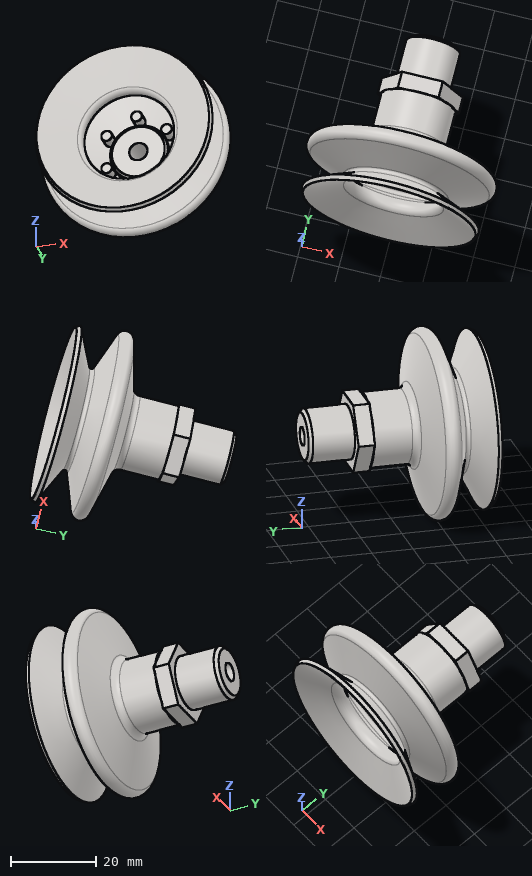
import cadquery as cq
import math


wall = 1.4
lip_outer = (21.5, 1.1)
lip_inner = (20.95, 0.0)

neck_radius = 12.35
neck_round = 0.65
neck_y = 6.03

rim_radius = 23.0
rim_round = 2.02
rim_y = 11.95

collar_radius = 9.0
collar_fillet = 1.85
collar_fillet_y = 18.65
collar_top_y = 27.95

pin_count = 6
pin_radius = 1.3
pin_circle_radius = 8.35
pin_tip_y = 12.6
pin_root_y = 16.55

bore_radius = 2.2
shank_radius = 7.0
shank_tip_y = 14.25
shank_chamfer = 0.6
hex_across_flats = 17.05
hex_height = 4.0
thread_radius = 6.6
thread_chamfer = 0.87
thread_end_y = 43.0

hex_top_y = collar_top_y + hex_height

neck_center = (neck_radius + neck_round, neck_y)
rim_center = (rim_radius - rim_round, rim_y)
collar_center = (collar_radius + collar_fillet, collar_fillet_y)


def crossing_tangent(center_a, radius_a, center_b, radius_b, side):
    """Contact points of the line that touches circles A and B on opposite sides.

    A radius of zero stands for a plain point; side (+1 or -1) picks one of the two lines.
    """
    dr = center_b[0] - center_a[0]
    dy = center_b[1] - center_a[1]
    spread = math.acos((radius_a + radius_b) / math.hypot(dr, dy))
    angle = math.atan2(dy, dr) + side * spread
    normal = (math.cos(angle), math.sin(angle))
    contact_a = (center_a[0] + radius_a * normal[0], center_a[1] + radius_a * normal[1])
    contact_b = (center_b[0] - radius_b * normal[0], center_b[1] - radius_b * normal[1])
    return contact_a, contact_b


def bellows_contacts(lip, inset):
    """Ends of the three conical stretches on the skin lying `inset` inside the outer one."""
    neck = neck_round + inset
    rim = rim_round - inset
    collar = collar_fillet + inset
    lip_cone = crossing_tangent(lip, 0, neck_center, neck, -1)
    lower_cone = crossing_tangent(rim_center, rim, neck_center, neck, 1)
    upper_cone = crossing_tangent(rim_center, rim, collar_center, collar, -1)
    return lip_cone, lower_cone, upper_cone


def y_on_line(start, end, radius):
    """Height at which the line through two profile points reaches the given radius."""
    slope = (end[1] - start[1]) / (end[0] - start[0])
    return start[1] + slope * (radius - start[0])


def turn(profile):
    return profile.close().revolve(360, (0, 0), (0, 1))


def rod(radius, start_y, end_y, x=0.0, z=0.0):
    """Cylinder parallel to Y."""
    return cq.Workplane(
        cq.Solid.makeCylinder(radius, end_y - start_y, cq.Vector(x, start_y, z), cq.Vector(0, 1, 0))
    )


def make_cup():
    outer_lip, outer_lower, outer_upper = bellows_contacts(lip_outer, 0)
    inner_lip, inner_lower, inner_upper = bellows_contacts(lip_inner, wall)
    seat_y = y_on_line(*inner_upper, shank_radius)

    cup = turn(
        cq.Workplane("XY")
        .moveTo(*lip_inner)
        .lineTo(*lip_outer)
        .lineTo(*outer_lip[1])
        .threePointArc((neck_radius, neck_y), outer_lower[1])
        .lineTo(*outer_lower[0])
        .threePointArc((rim_radius, rim_y), outer_upper[0])
        .lineTo(*outer_upper[1])
        .tangentArcPoint((collar_radius, collar_fillet_y), relative=False)
        .lineTo(collar_radius, collar_top_y)
        .lineTo(shank_radius, collar_top_y)
        .lineTo(shank_radius, seat_y)
        .lineTo(*inner_upper[0])
        .threePointArc((rim_radius - wall, rim_y), inner_lower[0])
        .lineTo(*inner_lower[1])
        .threePointArc((neck_radius - wall, neck_y), inner_lip[1])
    )

    for index in range(pin_count):
        angle = math.pi / 2 + index * 2 * math.pi / pin_count
        pin_x = pin_circle_radius * math.cos(angle)
        pin_z = pin_circle_radius * math.sin(angle)
        cup = cup.union(rod(pin_radius, pin_tip_y, pin_root_y, pin_x, pin_z))
    return cup


def make_fitting():
    shank = rod(shank_radius, shank_tip_y, collar_top_y).faces("<Y").chamfer(shank_chamfer)
    thread = rod(thread_radius, hex_top_y, thread_end_y).faces(">Y").chamfer(thread_chamfer)

    hex_across_corners = hex_across_flats / math.cos(math.pi / 6)
    hexagon = (
        cq.Workplane("XZ", origin=(0, hex_top_y, 0))
        .polygon(6, hex_across_corners)
        .extrude(hex_height)
    )

    bore = rod(bore_radius, shank_tip_y, thread_end_y)
    return shank.union(hexagon).union(thread).cut(bore)


cup = make_cup()
fitting = make_fitting()

result = cq.Compound.makeCompound([cup.solids().val(), fitting.solids().val()])